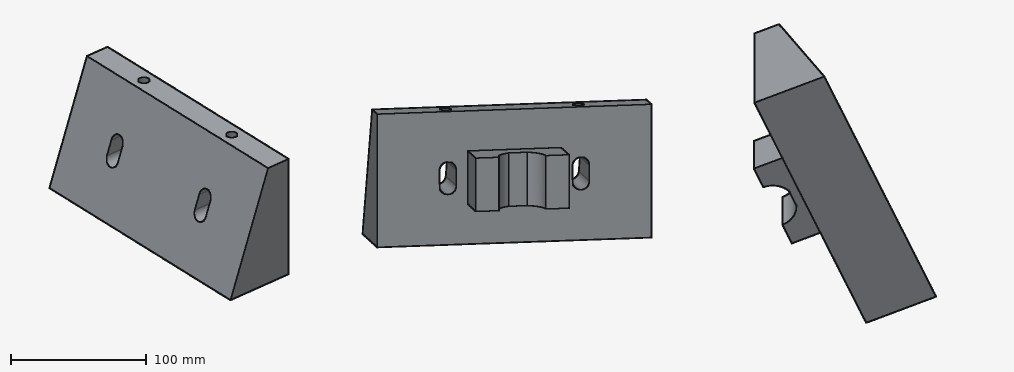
import cadquery as cq
import math

length = 206.0
height = 100.0
top_depth = 20.0
slope_angle = 20.0
bottom_depth = top_depth + height * math.tan(math.radians(slope_angle))

feature_spacing = 100.0
feature_xs = (-feature_spacing / 2, feature_spacing / 2)
slot_width = 12.5
slot_length = 24.3
hole_diameter = 8.5
hole_depth = 24.7
drill_point_angle = 118.0

block_width = 70.0
block_depth = 30.0
block_height = 40.0
notch_diameter = 35.0
notch_depth = 16.0


def drilled_hole(x):
    """Blind hole down from the top face, ending in a conical drill point."""
    radius = hole_diameter / 2
    point_depth = radius / math.tan(math.radians(drill_point_angle / 2))
    return (
        cq.Workplane("XZ")
        .lineTo(radius, 0)
        .lineTo(radius, -hole_depth)
        .lineTo(0, -hole_depth - point_depth)
        .close()
        .revolve(360, (0, 0), (0, 1))
        .translate((x, -top_depth / 2, height))
    )


def through_slot(x):
    """Upright slot running along Y through the whole wedge."""
    return (
        cq.Workplane("XZ")
        .center(x, height / 2)
        .slot2D(slot_length, slot_width, 90)
        .extrude(bottom_depth)
    )


def make_wedge():
    wedge = (
        cq.Workplane("YZ")
        .polyline([(0, 0), (-bottom_depth, 0), (-top_depth, height), (0, height)])
        .close()
        .extrude(length / 2, both=True)
    )
    for x in feature_xs:
        wedge = wedge.cut(through_slot(x)).cut(drilled_hole(x))
    return wedge.solids()


def make_saddle_block():
    """Block with a flat-bottomed round notch open at its back face."""
    half_width = block_width / 2
    notch_radius = notch_diameter / 2
    floor_half_width = math.sqrt(notch_radius**2 - notch_depth**2)
    floor_y = block_depth - notch_depth
    arc_mid_angle = math.atan2(notch_depth, floor_half_width) / 2
    arc_mid_x = notch_radius * math.cos(arc_mid_angle)
    arc_mid_y = block_depth - notch_radius * math.sin(arc_mid_angle)
    return (
        cq.Workplane("XY", origin=(0, 0, (height - block_height) / 2))
        .moveTo(-half_width, 0)
        .lineTo(half_width, 0)
        .lineTo(half_width, block_depth)
        .lineTo(notch_radius, block_depth)
        .threePointArc((arc_mid_x, arc_mid_y), (floor_half_width, floor_y))
        .lineTo(-floor_half_width, floor_y)
        .threePointArc((-arc_mid_x, arc_mid_y), (-notch_radius, block_depth))
        .lineTo(-half_width, block_depth)
        .close()
        .extrude(block_height)
    )


wedge = make_wedge()
saddle_block = make_saddle_block()

result = cq.Compound.makeCompound([wedge.val(), saddle_block.val()])